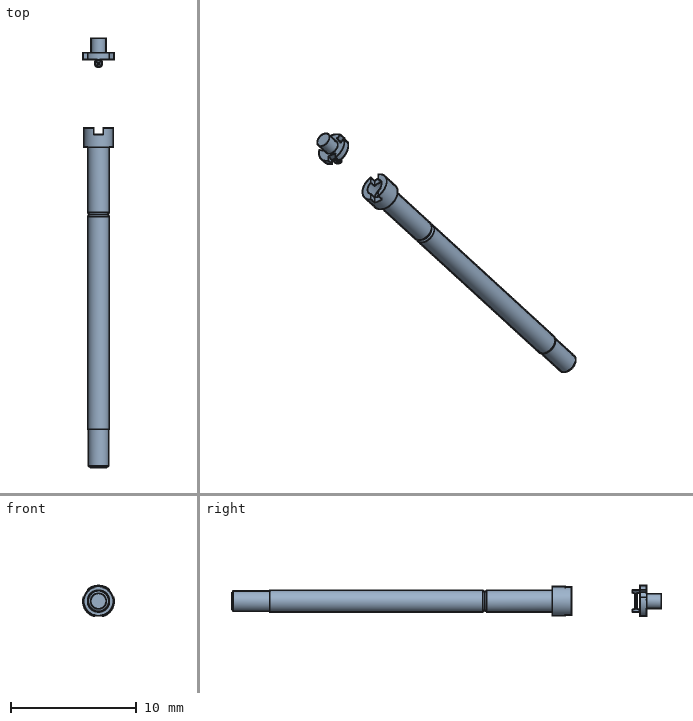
import cadquery as cq

total_length = 34.2

tip_length = 1.15
flange_thickness = 0.55
shaft_length = 5.45
collar_length = 1.55
tail_length = 3.05

tip_diameter = 1.2
flange_diameter = 2.5
shaft_diameter = 1.37
collar_diameter = 2.35
body_diameter = 1.75
tail_diameter = 1.65

tail_chamfer_height = 0.2
tail_chamfer_length = 0.15

flange_notch_count = 3
flange_notch_width = 0.7
flange_notch_floor_radius = 0.8

pin_diameter = 0.6
pin_length = 1.78
pin_chamfer = 0.05
pin_bore_diameter = 0.17

collar_slot_width = 0.72
collar_slot_depth = 0.5

groove_offset = 5.2
groove_width = 0.35
groove_depth = 0.15

tip_end = total_length / 2
tail_end = -total_length / 2
flange_start = tip_end - tip_length
shaft_start = flange_start - flange_thickness
collar_start = shaft_start - shaft_length
body_start = collar_start - collar_length
tail_start = tail_end + tail_length
pin_y = shaft_start - pin_diameter / 2
groove_start = body_start - groove_offset


def round_section(diameter, start, length):
    """Cylinder on the Y axis, running from start towards -Y."""
    return cq.Workplane("XZ", origin=(0, start, 0)).circle(diameter / 2).extrude(length)


def notched_flange():
    flange = round_section(flange_diameter, flange_start, flange_thickness)
    notch = (
        cq.Workplane("XY")
        .box(flange_notch_width, flange_thickness, flange_diameter / 2, centered=(True, False, False))
        .translate((0, shaft_start, -flange_notch_floor_radius - flange_diameter / 2))
    )
    for i in range(flange_notch_count):
        angle = i * 360 / flange_notch_count
        flange = flange.cut(notch.rotate((0, 0, 0), (0, 1, 0), angle))
    return flange


def slotted_collar():
    collar = round_section(collar_diameter, collar_start, collar_length)
    slot = cq.Workplane("XY").box(collar_slot_width, 2 * collar_slot_depth, collar_diameter)
    return collar.cut(slot.translate((0, collar_start, 0)))


def cross_pin():
    pin = cq.Workplane("XY").circle(pin_diameter / 2).extrude(pin_length / 2, both=True)
    pin = pin.faces("<Z or >Z").edges().chamfer(pin_chamfer)
    return pin.translate((0, pin_y, 0))


def cross_pin_bore():
    bore = cq.Workplane("XY", origin=(0, pin_y, 0)).circle(pin_bore_diameter / 2)
    return bore.extrude(pin_length / 2, both=True)


def grooved_body():
    body = round_section(body_diameter, body_start, body_start - tail_start)
    rim = body_diameter / 2
    groove = (
        cq.Workplane("XY")
        .moveTo(rim, groove_start)
        .lineTo(rim - groove_depth, groove_start - groove_width / 2)
        .lineTo(rim, groove_start - groove_width)
        .close()
        .revolve(360, (0, 0, 0), (0, 1, 0))
    )
    return body.cut(groove)


def chamfered_tail():
    radius = tail_diameter / 2
    return (
        cq.Workplane("XY")
        .moveTo(0, tail_start)
        .lineTo(radius, tail_start)
        .lineTo(radius, tail_end + tail_chamfer_length)
        .lineTo(radius - tail_chamfer_height, tail_end)
        .lineTo(0, tail_end)
        .close()
        .revolve(360, (0, 0, 0), (0, 1, 0))
    )


tip = round_section(tip_diameter, tip_end, tip_length)
shaft = round_section(shaft_diameter, shaft_start, shaft_length + collar_length)

result = (
    tip.union(notched_flange())
    .union(shaft)
    .union(cross_pin())
    .union(slotted_collar())
    .union(grooved_body())
    .union(chamfered_tail())
    .cut(cross_pin_bore())
)